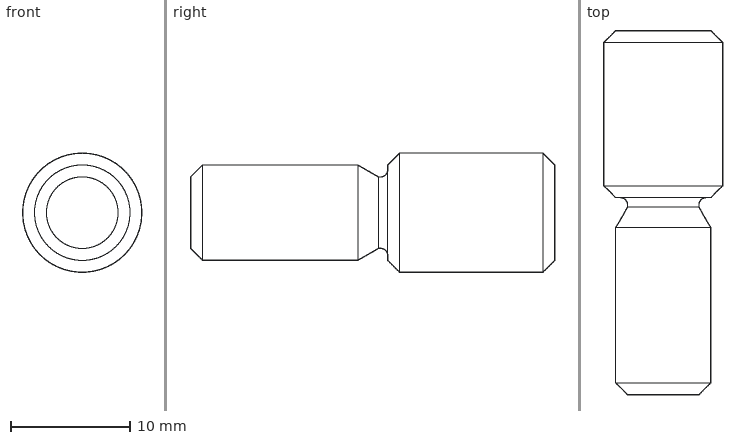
import cadquery as cq
import math

thick_radius = 5.0
thin_radius = 4.0
total_length = 30.5
thick_length = 14.0
chamfer = 1.0

neck_radius = 3.0
groove_length = 2.5
runout_angle = math.radians(30)
fillet_radius = 0.6

thin_end = 0.0
thick_end = thin_end + total_length
shoulder = thick_end - thick_length
runout_start = shoulder - groove_length
runout_end = runout_start + (thin_radius - neck_radius) / math.tan(runout_angle)
fillet_start = shoulder - fillet_radius

fillet_bulge = fillet_radius * math.sin(math.radians(45))
fillet_middle = (fillet_start + fillet_bulge, neck_radius + fillet_radius - fillet_bulge)


def half_profile():
    """Closed half section as (y, radius) in the YZ plane, from the thin end to the thick end."""
    return (
        cq.Workplane("YZ")
        .moveTo(thin_end, 0)
        .lineTo(thin_end, thin_radius - chamfer)
        .lineTo(thin_end + chamfer, thin_radius)
        .lineTo(runout_start, thin_radius)
        .lineTo(runout_end, neck_radius)
        .lineTo(fillet_start, neck_radius)
        .threePointArc(fillet_middle, (shoulder, neck_radius + fillet_radius))
        .lineTo(shoulder, thick_radius - chamfer)
        .lineTo(shoulder + chamfer, thick_radius)
        .lineTo(thick_end - chamfer, thick_radius)
        .lineTo(thick_end, thick_radius - chamfer)
        .lineTo(thick_end, 0)
        .close()
    )


result = half_profile().revolve(360, (0, 0, 0), (1, 0, 0))